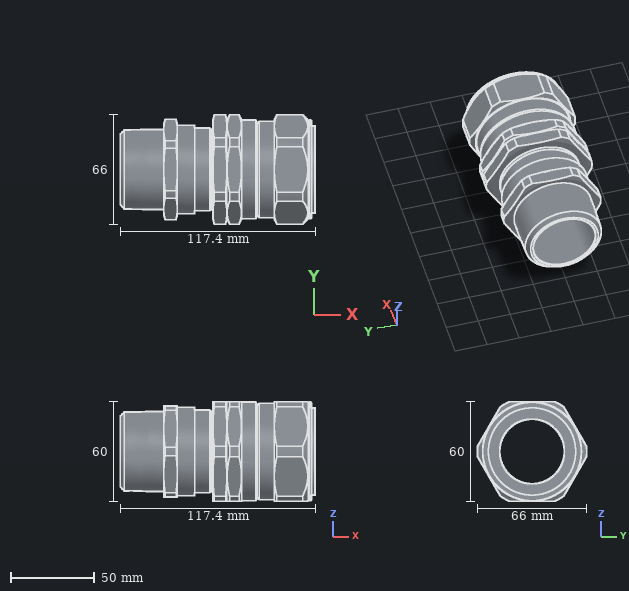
import cadquery as cq
import math


entry_chamfer_end = 2.6
thread_end = 17.0
small_hex_start = 26.3
small_hex_end = 34.5
collar_end = 45.0
neck_end = 53.9
neck_groove_x = 55.0
mid_hex_start = 55.9
mid_hex_joint = 64.3
mid_hex_end = 73.3
ring_end = 81.7
ring_groove_x = 82.6
sleeve_start = 83.8
nut_start = 92.7
nut_end = 113.3
bead_crest = 114.2
bead_end = 115.4
length = 117.4

entry_radius = 21.1
thread_start_radius = 23.8
thread_radius = 24.2
collar_radius = 26.8
neck_radius = 25.0
neck_groove_radius = 23.8
ring_radius = 29.8
ring_groove_radius = 27.7
sleeve_radius = 29.1
bead_front_radius = 29.5
end_flange_radius = 26.3

small_hex_flats = 55.0
small_hex_corner = 30.3
small_hex_face = 27.4
large_hex_flats = 60.0
large_hex_corner = 33.0
large_hex_face = 29.7

short_chamfer = 0.8
long_chamfer = 1.6
nut_rear_chamfer = large_hex_corner - large_hex_face

bore_radius = 19.4
bore_chamfer = 0.4


def revolve_about_x(profile):
    return profile.close().revolve(360, (0, 0, 0), (1, 0, 0))


def round_body():
    bead_round = bead_end - bead_crest
    bead_rear_radius = ring_radius - bead_round
    arc_offset = bead_round * math.sqrt(0.5)
    arc_middle = (bead_crest + arc_offset, bead_rear_radius + arc_offset)
    profile = (
        cq.Workplane("XY")
        .moveTo(0, 0)
        .lineTo(0, entry_radius)
        .lineTo(entry_chamfer_end, thread_start_radius)
        .lineTo(thread_end, thread_radius)
        .lineTo(small_hex_end, thread_radius)
        .lineTo(small_hex_end, collar_radius)
        .lineTo(collar_end, collar_radius)
        .lineTo(collar_end, neck_radius)
        .lineTo(neck_end, neck_radius)
        .lineTo(neck_groove_x, neck_groove_radius)
        .lineTo(mid_hex_start, neck_radius)
        .lineTo(mid_hex_end, neck_radius)
        .lineTo(mid_hex_end, ring_radius)
        .lineTo(ring_end, ring_radius)
        .lineTo(ring_groove_x, ring_groove_radius)
        .lineTo(sleeve_start, sleeve_radius)
        .lineTo(nut_end, sleeve_radius)
        .lineTo(nut_end, bead_front_radius)
        .lineTo(bead_crest, ring_radius)
        .threePointArc(arc_middle, (bead_end, bead_rear_radius))
        .lineTo(bead_end, end_flange_radius)
        .lineTo(length, end_flange_radius)
        .lineTo(length, 0)
    )
    return revolve_about_x(profile)


def hexagon(start, end, flats, corner, face, front_chamfer, rear_chamfer):
    """Hexagon with flats facing +Z and -Z, turned to a corner radius and chamfered at both ends."""
    prism = (
        cq.Workplane("YZ", origin=(start, 0, 0))
        .polygon(6, flats / math.cos(math.pi / 6))
        .extrude(end - start)
    )
    envelope = revolve_about_x(
        cq.Workplane("XY")
        .moveTo(start, 0)
        .lineTo(start, face)
        .lineTo(start + front_chamfer, corner)
        .lineTo(end - rear_chamfer, corner)
        .lineTo(end, face)
        .lineTo(end, 0)
    )
    return prism.intersect(envelope)


def large_hexagon(start, end, front_chamfer, rear_chamfer):
    return hexagon(start, end, large_hex_flats, large_hex_corner, large_hex_face, front_chamfer, rear_chamfer)


def bore():
    profile = (
        cq.Workplane("XY")
        .moveTo(0, 0)
        .lineTo(0, bore_radius + bore_chamfer)
        .lineTo(bore_chamfer, bore_radius)
        .lineTo(length, bore_radius)
        .lineTo(length, 0)
    )
    return revolve_about_x(profile)


small_hex = hexagon(
    small_hex_start,
    small_hex_end,
    small_hex_flats,
    small_hex_corner,
    small_hex_face,
    short_chamfer,
    short_chamfer,
)
front_mid_hex = large_hexagon(mid_hex_start, mid_hex_joint, short_chamfer, short_chamfer)
rear_mid_hex = large_hexagon(mid_hex_joint, mid_hex_end, long_chamfer, long_chamfer)
nut = large_hexagon(nut_start, nut_end, long_chamfer, nut_rear_chamfer)

result = round_body().union(small_hex).union(front_mid_hex).union(rear_mid_hex).union(nut).cut(bore())